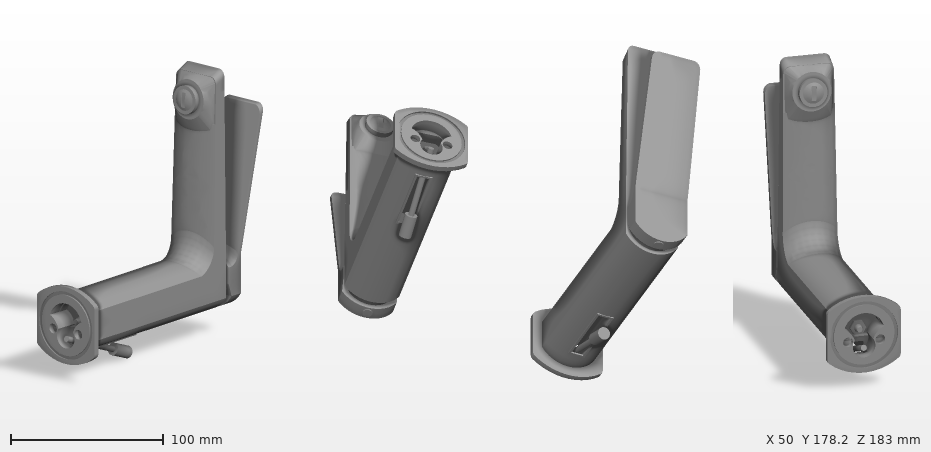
import cadquery as cq
import math


half_width = 18.7
crown_top = 20.0
crown_bottom = -19.4
top_edge = 11.3
bottom_edge = -9.0
back_y = 138.3
core_overlap = 3.7

flange_width = 50.0
flange_half_height = 26.4
flange_corner_z = 17.0
flange_thickness = 3.8
flange_corner_radius = 3.7
seal_outer_radius = 23.0
seal_inner_radius = 20.7
seal_depth = 1.1

pocket_depth = 16.5
pocket_radius = 15.0
pocket_corner = (13.5, 4.8)
waist = (6.0, -4.4)
waist_mid = (8.5, 0.5)
lobe_centre_z = -8.0
lobe_radius = 7.7
shelf_z = 11.7
shelf_depth = 9.1
shelf_inner_radius = 13.9
ledge_height = 0.7
ledge_length = 4.5
inlet_nut_width = 9.5
inlet_nut_length = 2.7
inlet_root_radius = 2.7
inlet_tip_radius = 1.8
inlet_tip_length = 3.7
screw_x = 11
screw_z = -4.2
screw_radius = 3.3
screw_recess = 3.7
screw_slot_width = 1.0
screw_slot_depth = 1.0

slot_width = 8.6
slot_top = -10.2
slot_fillet = 1.1
channel_start_y = 7.3
channel_floor = -18.7
bezel_front_y = 17.2
bezel_back_y = 64
bezel_rim = 1.5
bezel_lift = 0.4

spout_top = 147.0
spout_edge_top = (130.1, 143.1)
spout_half_width_top = 17.2
taper_start_z = 25.6
spout_corner_radius = 4.4
head_bottom = 102.5
head_bottom_dip = 9.1
head_tilt = 5
outlet_y = 122.0
outlet_z = 127.0
outlet_disc_radius = 13.4
aerator_radius = 9.5
aerator_length = 3.7
insert_radius = 7.1
insert_rise = 1.6
aerator_slot_width = 3.3
aerator_slot_depth = 0.7
head_overlap = 0.7
head_step = 0.1

neck_root_radius = 17.0
neck_tip_radius = 16.1
neck_end_y = 145.3

handle_front_y = 141.0
handle_relief_y = 144.0
handle_back_y = 153.3
lever_outer_top = (178.2, 115.0)
lever_inner_top = (174.5, 114.0)
lever_root = (150.6, 19.4)
lever_bend_z = 18.7
lever_corner_radius = 5.1
lever_half_width_top = 17.2
button_radius = 3.3
button_lift = 0.5

rod_radius = 2.0
rod_tip_y = 0.7
rod_tip_z = -9.3
rod_angle = 20.5
rod_length = 49.4
knob_radius = 4.2
knob_length = 15.5


def point(x, yz):
    """Point at X on a Y, Z pair."""
    return cq.Vector(x, yz[0], yz[1])


def cylinder_y(radius, start_y, end_y, x=0, z=0):
    """Cylinder parallel to Y."""
    return cq.Workplane(cq.Solid.makeCylinder(
        radius, end_y - start_y, cq.Vector(x, start_y, z), cq.Vector(0, 1, 0)))


def box(x_size, y_range, z_range):
    """Box centred on X between two Y and two Z limits."""
    y_size = y_range[1] - y_range[0]
    z_size = z_range[1] - z_range[0]
    return cq.Workplane("XY").box(x_size, y_size, z_size, centered=(True, False, False)).translate(
        (0, y_range[0], z_range[0]))


def side_profile(sketch_plane, width):
    """Extrude a closed Y-Z outline evenly to both sides of X = 0."""
    return sketch_plane.close().extrude(width / 2, both=True)


def crown_section(edge, crest):
    """Curved cap over a chord at the edge, with a rectangular foot reaching into the core."""
    edge_point = point(0, edge)
    inward = (edge_point - point(0, crest)).normalized() * core_overlap
    left = point(-half_width, edge)
    right = point(half_width, edge)
    return cq.Wire.assembleEdges([
        cq.Edge.makeThreePointArc(left, point(0, crest), right),
        cq.Edge.makeLine(right, right + inward),
        cq.Edge.makeLine(right + inward, left + inward),
        cq.Edge.makeLine(left + inward, left),
    ])


def crown(stations, ruled):
    """Crowned front surface through (edge, crest) stations."""
    wires = [crown_section(edge, crest) for edge, crest in stations]
    return cq.Workplane(cq.Solid.makeLoft(wires, ruled))


def lower_shell(start_y, end_y):
    """Half of the column section below its axis, extruded along Y."""
    outline = (
        cq.Workplane("XZ").moveTo(-half_width, 0).lineTo(-half_width, bottom_edge)
        .threePointArc((0, crown_bottom), (half_width, bottom_edge)).lineTo(half_width, 0).close()
    )
    return outline.extrude(start_y - end_y).translate((0, start_y, 0))


def taper_sides(solid, start_z, top_z, top_half_width):
    """Trim both sides so that the width narrows evenly from start_z to top_z."""
    reach = 366
    for side in (-1, 1):
        wedge = (
            cq.Workplane("XZ").moveTo(side * half_width, start_z)
            .lineTo(side * top_half_width, top_z).lineTo(side * half_width * 2, top_z)
            .lineTo(side * half_width * 2, start_z).close().extrude(reach, both=True)
        )
        solid = solid.cut(wedge)
    return solid



corner_start = ((114.0, top_edge), (106.0, crown_top))
corner_low = ((119.3, 14.0), (113.0, 22))
corner_high = ((124.5, 20.1), (119.9, 27.8))
corner_end = ((126.6, 28.2), (123.3, 36.6))
spout_end = ((129.5, 111.6), (125.2, 111.6))


def make_column_and_spout():
    core = side_profile(
        cq.Workplane("YZ").moveTo(0, 0).lineTo(0, top_edge).lineTo(*corner_start[0])
        .spline([corner_low[0], corner_high[0], corner_end[0]], includeCurrent=True)
        .lineTo(*spout_edge_top).lineTo(back_y, spout_top).lineTo(back_y, 0),
        2 * half_width)
    column_start = ((0, top_edge), (0, crown_top))
    shape = core.union(lower_shell(0, back_y))
    shape = shape.union(crown([column_start, corner_start], True))
    shape = shape.union(crown([corner_start, corner_low, corner_high, corner_end], False))
    shape = shape.union(crown([corner_end, spout_end], True))
    shape = taper_sides(shape, taper_start_z, spout_top + 1.8, spout_half_width_top)
    slanted_corners = cq.selectors.BoxSelector(
        (-half_width, spout_edge_top[0] - 1.8, spout_edge_top[1] - 1.8),
        (half_width, back_y + 1.8, spout_top + 1.8))
    return shape.edges(slanted_corners).edges("not #Y").edges("not |X").fillet(spout_corner_radius)


def outlet_plane():
    """Plane on the outlet disc, facing along the outlet."""
    tilt = math.radians(head_tilt)
    return cq.Plane(origin=(0, outlet_y, outlet_z), xDir=(1, 0, 0),
                    normal=(0, -math.cos(tilt), math.sin(tilt)))


def make_head():
    """Hood blending the rectangular spout front into the round outlet disc."""
    edge_y, edge_z = spout_edge_top
    base_y = edge_y + head_overlap
    top = edge_z + head_overlap * (spout_top - edge_z) / (back_y - edge_y) - head_step
    side = spout_half_width_top - head_step
    shoulder = top - spout_corner_radius
    inset = side - spout_corner_radius
    bulge = spout_corner_radius * math.sqrt(0.5)
    plane = outlet_plane()

    def base_point(x, z):
        return cq.Vector(x, base_y, z)

    def corner_arc(start, end, sign):
        middle = base_point(sign * (inset + bulge), shoulder + bulge)
        return cq.Edge.makeThreePointArc(start, middle, end)

    def rim_point(angle):
        turn = math.radians(angle)
        return plane.toWorldCoords((outlet_disc_radius * math.cos(turn), outlet_disc_radius * math.sin(turn)))

    low_left = base_point(-side, head_bottom)
    low_right = base_point(side, head_bottom)
    right_shoulder = base_point(side, shoulder)
    right_top = base_point(inset, top)
    left_top = base_point(-inset, top)
    left_shoulder = base_point(-side, shoulder)
    base = cq.Wire.assembleEdges([
        cq.Edge.makeThreePointArc(low_left, base_point(0, head_bottom - head_bottom_dip), low_right),
        cq.Edge.makeLine(low_right, right_shoulder),
        corner_arc(right_shoulder, right_top, 1),
        cq.Edge.makeLine(right_top, left_top),
        corner_arc(left_top, left_shoulder, -1),
        cq.Edge.makeLine(left_shoulder, low_left),
    ])
    rim_angles = [-135, -45, 40, 52, 128, 140, 225]
    disc = cq.Wire.assembleEdges([
        cq.Edge.makeThreePointArc(rim_point(start), rim_point((start + end) / 2), rim_point(end))
        for start, end in zip(rim_angles, rim_angles[1:])])
    return cq.Workplane(cq.Solid.makeLoft([base, disc], True))


def make_aerator():
    """Outlet nozzle with a domed, slotted insert."""
    plane = outlet_plane()
    nozzle = cq.Workplane(plane).circle(aerator_radius).extrude(aerator_length)
    end = cq.Workplane(plane).workplane(offset=aerator_length)
    dome = (
        cq.Workplane(cq.Plane(end.plane.origin, plane.xDir, -plane.yDir))
        .lineTo(insert_radius, 0).threePointArc((insert_radius * 0.7, insert_rise * 0.6), (0, insert_rise))
        .close().revolve(360, (0, 0, 0), (0, 1, 0))
    )
    groove = (
        end.workplane(offset=insert_rise - aerator_slot_depth)
        .rect(aerator_slot_width, 2 * insert_radius).extrude(insert_rise)
    )
    return nozzle.union(dome.cut(groove))


def make_flange():
    half = flange_width / 2
    plate = (
        cq.Workplane("XZ").moveTo(-half, -flange_corner_z).lineTo(-half, flange_corner_z)
        .threePointArc((0, flange_half_height), (half, flange_corner_z)).lineTo(half, -flange_corner_z)
        .threePointArc((0, -flange_half_height), (-half, -flange_corner_z)).close()
        .extrude(-flange_thickness).edges("|Y").fillet(flange_corner_radius)
    )
    return plate


def make_seal_groove():
    return cylinder_y(seal_outer_radius, 0, seal_depth).cut(cylinder_y(seal_inner_radius, 0, seal_depth))


def make_pocket():
    """Keyhole-shaped recess: wide arc above, narrow waist between the screws, round lobe below."""
    upper = (
        cq.Workplane("XZ").moveTo(-waist[0], waist[1])
        .threePointArc((-waist_mid[0], waist_mid[1]), (-pocket_corner[0], pocket_corner[1]))
        .threePointArc((0, pocket_radius), pocket_corner)
        .threePointArc(waist_mid, waist).lineTo(waist[0], lobe_centre_z).lineTo(-waist[0], lobe_centre_z)
        .close().extrude(-pocket_depth)
    )
    pocket = upper.union(cylinder_y(lobe_radius, 0, pocket_depth, z=lobe_centre_z))
    shelf = (
        box(2 * pocket_radius, (shelf_depth, pocket_depth), (pocket_corner[1], pocket_radius))
        .cut(cylinder_y(shelf_inner_radius, shelf_depth, pocket_depth)
             .intersect(box(2 * pocket_radius, (shelf_depth, pocket_depth), (0, shelf_z))))
    )
    ledge = box(2 * waist[0], (pocket_depth - ledge_length, pocket_depth),
                (waist[1] - ledge_height, waist[1]))
    return pocket.cut(shelf).cut(ledge)


def make_inlet():
    """Hexagonal inlet nut with a tapered nozzle on the pocket floor."""
    across_corners = inlet_nut_width / math.cos(math.pi / 6)
    nut = (
        cq.Workplane("XZ", origin=(0, pocket_depth, 0)).polygon(6, across_corners)
        .extrude(inlet_nut_length)
    )
    nozzle = cq.Solid.makeCone(
        inlet_root_radius, inlet_tip_radius, inlet_tip_length,
        cq.Vector(0, pocket_depth - inlet_nut_length, 0), cq.Vector(0, -1, 0))
    return nut.union(cq.Workplane(nozzle))


def cut_screw_recesses(shape):
    """Two round recesses, each ending on a slotted screw head."""
    slot_range = (screw_z - screw_slot_width / 2, screw_z + screw_slot_width / 2)
    for x in (-screw_x, screw_x):
        recess = cylinder_y(screw_radius, 0, screw_recess, x, screw_z)
        slot = box(2 * screw_radius - screw_slot_width,
                   (screw_recess, screw_recess + screw_slot_depth), slot_range).translate((x, 0, 0))
        shape = shape.cut(recess).cut(slot)
    return shape


def make_slot_bezel():
    bezel_bottom = crown_bottom - bezel_lift
    return box(slot_width + 2 * bezel_rim, (bezel_front_y, bezel_back_y), (bezel_bottom, slot_top))


def make_rod_slot():
    """Channel from the pocket lobe to the opening in the underside."""
    outside = crown_bottom - 1.8
    opening_start = bezel_front_y + bezel_rim
    end = bezel_back_y - bezel_rim
    channel = box(slot_width, (channel_start_y, end), (channel_floor, slot_top))
    channel = channel.edges("|Y and >Z").fillet(slot_fillet)
    return channel.union(box(slot_width, (opening_start, end), (outside, slot_top - slot_fillet)))


def make_neck():
    start = back_y - 1.8
    cone = cq.Solid.makeCone(neck_root_radius, neck_tip_radius, neck_end_y - start,
                             cq.Vector(0, start, 0), cq.Vector(0, 1, 0))
    return cq.Workplane(cone)


def make_body():
    shape = make_column_and_spout().union(make_head()).union(make_aerator())
    shape = shape.union(make_flange()).union(make_slot_bezel()).union(make_neck())
    shape = shape.cut(make_seal_groove()).cut(make_pocket())
    shape = cut_screw_recesses(shape).union(make_inlet())
    return shape.cut(make_rod_slot())



saddle_start = ((144.5, top_edge), (144.5, crown_top))
saddle_mid = ((148.2, 13.9), (147.5, 20.7))
saddle_end = (lever_root, (150.8, 23.6))


def make_handle():
    """Crowned grip block behind the neck with a flat lever leaning away from the spout."""
    core = side_profile(
        cq.Workplane("YZ").moveTo(handle_front_y, 0).lineTo(handle_front_y, top_edge)
        .lineTo(*saddle_start[0]).threePointArc(saddle_mid[0], lever_root)
        .lineTo(*lever_inner_top).lineTo(*lever_outer_top).lineTo(handle_back_y, lever_bend_z)
        .lineTo(handle_back_y, 0),
        2 * half_width)
    block_start = ((handle_front_y, top_edge), (handle_front_y, crown_top))
    shape = core.union(lower_shell(handle_front_y, handle_back_y))
    shape = shape.union(crown([block_start, saddle_start], True))
    shape = shape.union(crown([saddle_start, saddle_mid, saddle_end], False))
    relief = side_profile(
        cq.Workplane("YZ").moveTo(handle_front_y, 0).lineTo(handle_relief_y, bottom_edge)
        .lineTo(handle_relief_y, 2 * crown_bottom).lineTo(handle_front_y, 2 * crown_bottom),
        4 * half_width)
    shape = taper_sides(shape.cut(relief), taper_start_z, lever_outer_top[1] + 1.8, lever_half_width_top)
    lever_corners = cq.selectors.BoxSelector(
        (-half_width, lever_inner_top[0] - 1.8, lever_inner_top[1] - 1.8),
        (half_width, lever_outer_top[0] + 1.8, lever_outer_top[1] + 1.8))
    shape = shape.edges(lever_corners).edges("not |X").fillet(lever_corner_radius)
    button_y = (handle_relief_y + handle_back_y) / 2
    button = cq.Workplane("XY", origin=(0, button_y, crown_bottom - button_lift)).circle(button_radius).extrude(3.7)
    return shape.union(button).cut(make_neck())



def make_pull_rod():
    """Thin rod from the flange pocket out through the underside, ending in a round knob."""
    drop = math.radians(rod_angle)
    direction = cq.Vector(0, math.cos(drop), -math.sin(drop))
    tip = cq.Vector(0, rod_tip_y, rod_tip_z)
    rod = cq.Workplane(cq.Solid.makeCylinder(rod_radius, rod_length, tip, direction))
    knob = cq.Solid.makeCylinder(knob_radius, knob_length, tip + direction * rod_length, direction)
    return rod.union(cq.Workplane(knob))


body = make_body()
handle = make_handle()
pull_rod = make_pull_rod()

result = cq.Compound.makeCompound([body.val(), handle.val(), pull_rod.val()])